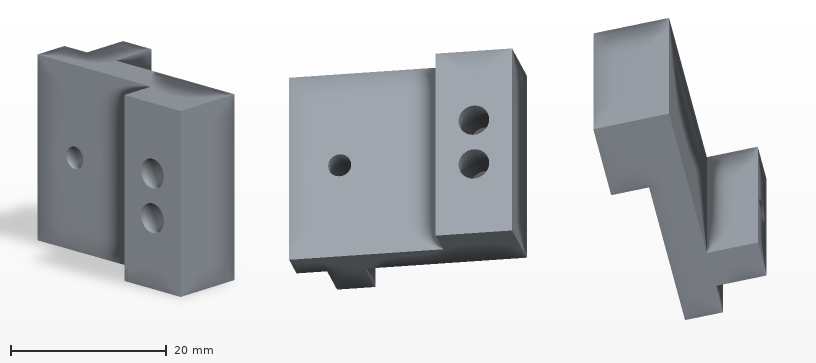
import cadquery as cq

height = 25.0
plate_length = 30.1
plate_thickness = 5.0

block_width = 10.0
block_depth = 5.0

rib_width = 5.0
rib_depth = 6.72
rib_start_x = 4.0

through_hole_x = 6.6
through_hole_diameter = 3.0

blind_hole_diameter = 4.0
blind_hole_spacing = 6.0
blind_hole_depth = 8.0

mid_height = height / 2
block_face_y = -block_depth
rib_face_y = plate_thickness + rib_depth
block_center_x = plate_length - block_width / 2


def box_from(x_start, y_start, width, depth):
    """Full-height box with its lower corner at (x_start, y_start, 0)."""
    box = cq.Workplane("XY").box(width, depth, height, centered=False)
    return box.translate((x_start, y_start, 0))


def hole_cutter(x, y_start, z, diameter, depth):
    """Cylinder running along +Y from y_start."""
    start = cq.Vector(x, y_start, z)
    return cq.Workplane(cq.Solid.makeCylinder(diameter / 2, depth, start, cq.Vector(0, 1, 0)))


plate = box_from(0, 0, plate_length, plate_thickness)
block = box_from(plate_length - block_width, block_face_y, block_width, block_depth)
rib = box_from(rib_start_x, plate_thickness, rib_width, rib_depth)
body = plate.union(block).union(rib).clean()

body = body.cut(hole_cutter(through_hole_x, 0, mid_height, through_hole_diameter, rib_face_y))

for side in (-1, 1):
    hole_z = mid_height + side * blind_hole_spacing / 2
    body = body.cut(
        hole_cutter(block_center_x, block_face_y, hole_z, blind_hole_diameter, blind_hole_depth)
    )

result = body